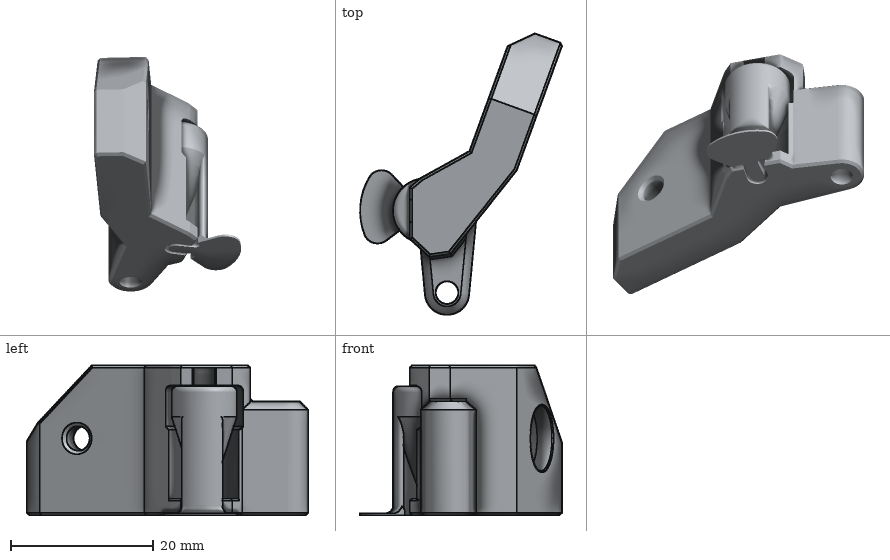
import cadquery as cq
import math


HOUSING_HEIGHT = 21.1
EDGE_CHAMFER = 0.37
NOSE_X = -2.24
NOSE_TOP_Y = 3.3
NOSE_BOTTOM_Y = -3.9
FRONT_LEFT = (0.5, -6.47)
FRONT_RIGHT = (3.47, -6.04)
SHOULDER = (-0.72, 4.6)
ARM_TILT = 20.0
ARM_LEFT = 2.9
ARM_RIGHT = 10.075
ARM_START_LEFT = 10.0
ARM_START_RIGHT = 9.73
ARM_END = 28.68
ARM_CORNER_CUT = 3.0
SLOPE_START = 17.95
SLOPE_DROP = ARM_END - SLOPE_START

ARM_HOLE_ALONG = 20.1
ARM_HOLE_Z = 10.8
BORE_DIAMETER = 9.19
BORE_DEPTH = 2.4
BORE_RIM_CHAMFER = 0.18
BORE_CONE_HEIGHT = 1.35
SCREW_DIAMETER = 3.45
SCREW_RIM_CHAMFER = 0.5

LUG_X = 3.0
LUG_Y = -11.48
LUG_RADIUS = 3.13
LUG_TAPER = 5.4
LUG_ROOT_Y = -1.0
LUG_HEIGHT = 16.0
LUG_TOP_CHAMFER = 1.2
LUG_HOLE_DIAMETER = 3.15

POCKET_FLOOR = 2.3
POCKET_STEP = 12.0
POCKET_TOP = 18.25
POCKET_LOWER_RADIUS = 5.0
POCKET_UPPER_RADIUS = 5.5
POCKET_TOP_FILLET = 0.9
FLOOR_CHAMFER = 0.25
SLOT_WIDTH = 3.0
SLOT_MOUTH_CHAMFER = 0.2
SLOT_TOP = HOUSING_HEIGHT - EDGE_CHAMFER

PLUNGER_HEADING = 175.0
HEAD_RADIUS = 9.19 / 2
HEAD_BOTTOM = 13.83
HEAD_TOP = 18.15
HEAD_FILLET = 0.85
CONE_TIP_Z = 2.7
PIN_RADIUS = 1.0
WEB_WIDTH = 2 * PIN_RADIUS
SHELL_INNER_RADIUS = 3.67
SHELL_END_ROUND = 0.44
WEB_FILLET = 0.65
FOOT_RADIUS = 9.23
FOOT_HALF_ANGLE = 42.0
FOOT_CORNER = 2.0
FOOT_THICKNESS = 0.3
FOOT_FILLET = 1.0


def arm_point(along, across):
    """XY point at a distance along the arm and an offset to its right of the plunger axis."""
    tilt = math.radians(ARM_TILT)
    x = along * math.sin(tilt) + across * math.cos(tilt)
    y = along * math.cos(tilt) - across * math.sin(tilt)
    return (x, y)


def block_outline():
    return [
        (NOSE_X, NOSE_TOP_Y),
        (NOSE_X, NOSE_BOTTOM_Y),
        FRONT_LEFT,
        FRONT_RIGHT,
        arm_point(ARM_START_RIGHT, ARM_RIGHT),
        arm_point(ARM_END - EDGE_CHAMFER, ARM_RIGHT),
        arm_point(ARM_END, ARM_RIGHT - EDGE_CHAMFER),
        arm_point(ARM_END, ARM_LEFT + ARM_CORNER_CUT),
        arm_point(ARM_END - ARM_CORNER_CUT, ARM_LEFT),
        arm_point(ARM_START_LEFT, ARM_LEFT),
        SHOULDER,
    ]


def block():
    """Angled block whose arm slopes down at 45 degrees toward its tip."""
    solid = cq.Workplane("XY").polyline(block_outline()).close().extrude(HOUSING_HEIGHT)
    wedge = (
        cq.Workplane("YZ")
        .moveTo(SLOPE_START, HOUSING_HEIGHT)
        .lineTo(ARM_END + SLOPE_DROP, HOUSING_HEIGHT)
        .lineTo(ARM_END + SLOPE_DROP, HOUSING_HEIGHT - 2 * SLOPE_DROP)
        .close()
        .extrude(2 * ARM_RIGHT)
        .rotate((0, 0, 0), (0, 0, 1), -ARM_TILT)
    )
    solid = solid.cut(wedge)

    tilt = math.radians(ARM_TILT)
    down_slope = cq.Vector(math.sin(tilt), math.cos(tilt), -1)
    slope_sides = solid.edges(cq.selectors.ParallelDirSelector(down_slope, 0.001))
    top_rim = solid.faces(">Z").edges("not >Y")
    return top_rim.add(slope_sides).chamfer(EDGE_CHAMFER)


def lug_prism(radius, height):
    """Tapered lug with its round end about the lug hole."""
    taper = math.radians(LUG_TAPER)
    side_x = radius * math.cos(taper)
    side_y = LUG_Y - radius * math.sin(taper)
    root_x = side_x + (LUG_ROOT_Y - side_y) * math.tan(taper)
    return (
        cq.Workplane("XY")
        .moveTo(LUG_X - root_x, LUG_ROOT_Y)
        .lineTo(LUG_X - side_x, side_y)
        .threePointArc((LUG_X, LUG_Y - radius), (LUG_X + side_x, side_y))
        .lineTo(LUG_X + root_x, LUG_ROOT_Y)
        .close()
        .extrude(height)
    )


def lug():
    return lug_prism(LUG_RADIUS, LUG_HEIGHT).faces(">Z").edges().chamfer(LUG_TOP_CHAMFER)


def root_bead():
    """Small sloping bead where the flat top of the lug meets the block."""
    bead = (
        cq.Workplane("XY", origin=(0, 0, LUG_HEIGHT))
        .polyline(block_outline())
        .close()
        .offset2D(EDGE_CHAMFER, "intersection")
        .extrude(EDGE_CHAMFER, taper=45)
    )
    return bead.intersect(lug_prism(LUG_RADIUS - LUG_TOP_CHAMFER, HOUSING_HEIGHT))


def slot(bottom, top):
    """Round-ended slot from the plunger axis out through the flat nose, with a chamfered mouth."""
    half = SLOT_WIDTH / 2
    throat_x = NOSE_X + SLOT_MOUTH_CHAMFER
    mouth = half + SLOT_MOUTH_CHAMFER
    return (
        cq.Workplane("XY", origin=(0, 0, bottom))
        .moveTo(0, half)
        .threePointArc((half, 0), (0, -half))
        .lineTo(throat_x, -half)
        .lineTo(NOSE_X, -mouth)
        .lineTo(NOSE_X, mouth)
        .lineTo(throat_x, half)
        .close()
        .extrude(top - bottom)
    )


def pocket():
    """Stepped round cavity for the plunger, wider around its head."""
    step = POCKET_UPPER_RADIUS - POCKET_LOWER_RADIUS
    return (
        cq.Workplane("XZ")
        .moveTo(0, POCKET_FLOOR)
        .lineTo(POCKET_LOWER_RADIUS, POCKET_FLOOR)
        .lineTo(POCKET_LOWER_RADIUS, POCKET_STEP)
        .lineTo(POCKET_UPPER_RADIUS, POCKET_STEP + step)
        .lineTo(POCKET_UPPER_RADIUS, POCKET_TOP)
        .lineTo(0, POCKET_TOP)
        .close()
        .revolve(360, (0, 0, 0), (0, 1, 0))
        .faces(">Z")
        .edges()
        .fillet(POCKET_TOP_FILLET)
    )


def arm_hole():
    """Wide bore from the right side of the arm, coned down to a screw hole."""
    width = ARM_RIGHT - ARM_LEFT
    bore = BORE_DIAMETER / 2
    screw = SCREW_DIAMETER / 2
    profile = [
        (0, 0),
        (bore + BORE_RIM_CHAMFER, 0),
        (bore, BORE_RIM_CHAMFER),
        (bore, BORE_DEPTH),
        (screw, BORE_DEPTH + BORE_CONE_HEIGHT),
        (screw, width - SCREW_RIM_CHAMFER),
        (screw + SCREW_RIM_CHAMFER, width),
        (0, width),
    ]
    x, y = arm_point(ARM_HOLE_ALONG, ARM_RIGHT)
    return (
        cq.Workplane("XY")
        .polyline(profile)
        .close()
        .revolve(360, (0, 0, 0), (0, 1, 0))
        .rotate((0, 0, 0), (0, 0, 1), 90 - ARM_TILT)
        .translate((x, y, ARM_HOLE_Z))
    )


def make_housing():
    lug_hole = cq.Workplane("XY").center(LUG_X, LUG_Y).circle(LUG_HOLE_DIAMETER / 2).extrude(LUG_HEIGHT)
    solid = block().union(lug()).union(root_bead())
    solid = solid.faces("<Z").edges().chamfer(EDGE_CHAMFER)
    solid = solid.cut(pocket()).cut(slot(0, POCKET_FLOOR))
    floor = solid.faces(cq.selectors.NearestToPointSelector((SLOT_WIDTH, 0, POCKET_FLOOR)))
    floor_rim = [
        edge
        for edge in floor.edges().vals()
        if edge.geomType() == "LINE" or edge.radius() < POCKET_LOWER_RADIUS / 2
    ]
    solid = solid.newObject(floor_rim).chamfer(FLOOR_CHAMFER)
    solid = solid.cut(slot(POCKET_TOP - POCKET_TOP_FILLET, SLOT_TOP))
    return solid.cut(lug_hole).cut(arm_hole())


def sector(radius, height):
    """Pie slice about the plunger axis, pointing to +X."""
    half = math.radians(FOOT_HALF_ANGLE)
    corner = (radius * math.cos(half), radius * math.sin(half))
    return (
        cq.Workplane("XY")
        .lineTo(corner[0], -corner[1])
        .threePointArc((radius, 0), corner)
        .close()
        .extrude(height)
    )


def inner_cylinder():
    return cq.Workplane("XY").circle(SHELL_INNER_RADIUS).extrude(HEAD_BOTTOM)


def stem_shell():
    shell = sector(HEAD_RADIUS, HEAD_BOTTOM).cut(inner_cylinder())
    return shell.edges("|Z").fillet(SHELL_END_ROUND)


def stem():
    """Shell with rounded ends, joined to the pivot pin by a web."""
    web_length = (SHELL_INNER_RADIUS + HEAD_RADIUS) / 2
    web = cq.Workplane("XY").box(web_length, WEB_WIDTH, HEAD_BOTTOM, centered=(False, True, False))
    corner_x = math.sqrt(SHELL_INNER_RADIUS**2 - (WEB_WIDTH / 2) ** 2)
    joined = stem_shell().union(web)
    for side in (1, -1):
        corner = cq.selectors.NearestToPointSelector((corner_x, side * WEB_WIDTH / 2, HEAD_BOTTOM / 2))
        joined = joined.edges("|Z").edges(corner).fillet(WEB_FILLET)
    pin = cq.Workplane("XY").circle(PIN_RADIUS).extrude(HEAD_BOTTOM)
    return joined.union(pin)


def foot():
    """Thin fan-shaped plate, filleted into the outside of the shell."""
    plate = cq.Workplane("XY").circle(FOOT_RADIUS).extrude(FOOT_THICKNESS)
    solid = plate.union(stem_shell())
    root_low = (PIN_RADIUS, -HEAD_RADIUS, FOOT_THICKNESS / 2)
    root_high = (HEAD_RADIUS + FOOT_FILLET, HEAD_RADIUS, FOOT_THICKNESS + FOOT_FILLET)
    solid = solid.edges(cq.selectors.BoxSelector(root_low, root_high)).fillet(FOOT_FILLET)
    fan = sector(FOOT_RADIUS, HEAD_BOTTOM).edges("|Z").edges(">Y or <Y").fillet(FOOT_CORNER)
    return solid.intersect(fan).cut(inner_cylinder())


def head():
    solid = cq.Workplane("XY", origin=(0, 0, HEAD_BOTTOM)).circle(HEAD_RADIUS).extrude(HEAD_TOP - HEAD_BOTTOM)
    return solid.faces(">Z").edges().fillet(HEAD_FILLET)


def cone():
    """Taper from the head down to the pivot pin."""
    profile = [(0, CONE_TIP_Z), (PIN_RADIUS, CONE_TIP_Z), (HEAD_RADIUS, HEAD_BOTTOM), (0, HEAD_BOTTOM)]
    return cq.Workplane("XZ").polyline(profile).close().revolve(360, (0, 0, 0), (0, 1, 0))


def make_plunger():
    """Plunger built with its foot along +X, then turned to its heading."""
    solid = head().union(cone()).union(stem()).union(foot())
    return solid.rotate((0, 0, 0), (0, 0, 1), PLUNGER_HEADING)


housing = make_housing()
plunger = make_plunger()
result = cq.Compound.makeCompound([housing.val(), plunger.val()])